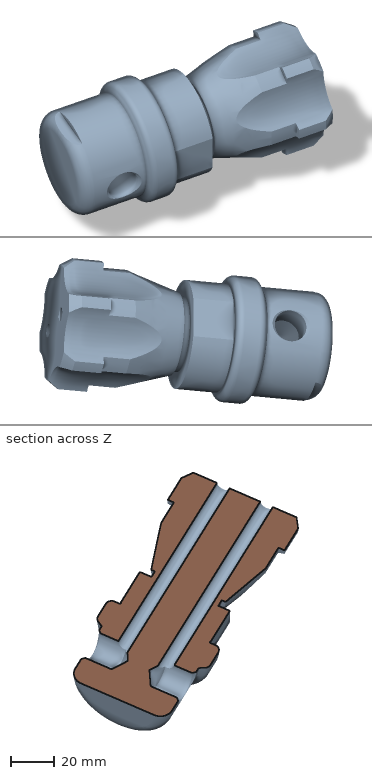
import cadquery as cq
import math

flat_length = 6.3
shank_end = 32.6
flange_end = 47.7
collar_start = 48.3
collar_end = 67.6
neck_end = 70.8
taper_end = 96.1
head_step = 108.7
total_length = 127.8

shank_radius = 25.3
end_rounding = 6.3
flange_radius = 29.4
flange_rounding = 3.1
flange_cone_angle = 60.0
groove_radius = 23.4
neck_radius = 17.5
taper_start_radius = 19.4
taper_end_radius = 27.3
head_radius = 30.47
head_chamfer_length = 5.2
head_chamfer_depth = 3.51

shank_flat_height = 22.2
collar_flat_distance = 23.5

rib_count = 6
scallop_axis_distance = 42.2
scallop_depth_radius = 22.9
scallop_radius = scallop_axis_distance - scallop_depth_radius

hole_position = 21.2
hole_radius = 7.5
hole_mouth_radius = 9.0
hole_bottom_distance = 10.2
drill_tip_angle = 118.0
channel_diameter = 6.4
channel_axis_distance = 11.2


def turned_body():
    """Revolve the stepped half profile about the Y axis."""
    diagonal = math.sqrt(0.5)
    shank_corner = shank_radius - end_rounding
    cone_angle = math.radians(flange_cone_angle)
    rounding_center = flange_radius - flange_rounding
    cone_top_radius = rounding_center + flange_rounding * math.cos(cone_angle)
    cone_top = shank_end + (cone_top_radius - shank_radius) / math.tan(cone_angle)
    rear_center = cone_top + flange_rounding * math.sin(cone_angle)
    front_center = flange_end - flange_rounding
    profile = (
        cq.Workplane("XY")
        .lineTo(shank_corner, 0)
        .threePointArc(
            (shank_corner + end_rounding * diagonal, end_rounding * (1 - diagonal)),
            (shank_radius, end_rounding),
        )
        .lineTo(shank_radius, shank_end)
        .lineTo(cone_top_radius, cone_top)
        .threePointArc(
            (
                rounding_center + flange_rounding * math.cos(cone_angle / 2),
                rear_center - flange_rounding * math.sin(cone_angle / 2),
            ),
            (flange_radius, rear_center),
        )
        .lineTo(flange_radius, front_center)
        .threePointArc(
            (rounding_center + flange_rounding * diagonal, front_center + flange_rounding * diagonal),
            (rounding_center, flange_end),
        )
        .lineTo(groove_radius, flange_end)
        .lineTo(groove_radius, collar_start)
        .lineTo(shank_radius, collar_start)
        .lineTo(shank_radius, collar_end)
        .lineTo(neck_radius, collar_end)
        .lineTo(neck_radius, neck_end)
        .lineTo(taper_start_radius, neck_end)
        .lineTo(taper_end_radius, taper_end)
        .lineTo(taper_end_radius, head_step)
        .lineTo(head_radius, head_step)
        .lineTo(head_radius, total_length - head_chamfer_length)
        .lineTo(head_radius - head_chamfer_depth, total_length)
        .lineTo(0, total_length)
        .close()
    )
    return profile.revolve(360, (0, 0, 0), (0, 1, 0))


def cylinder_along_y(radius, x, z, start, end):
    base = cq.Vector(x, start, z)
    return cq.Workplane(cq.Solid.makeCylinder(radius, end - start, base, cq.Vector(0, 1, 0)))


def cut_shank_flats(body):
    """Cut a short flat above and below the rounded shank end."""
    for side in (-1, 1):
        cutter = cq.Workplane("XY").box(2 * shank_radius, flat_length, shank_radius, centered=(True, False, True))
        body = body.cut(cutter.translate((0, 0, side * (shank_flat_height + shank_radius / 2))))
    return body


def cut_collar_flats(body):
    """Cut the two wrench flats across the collar."""
    length = collar_end - collar_start
    for side in (-1, 1):
        cutter = cq.Workplane("XY").box(shank_radius, length, 2 * shank_radius, centered=(True, False, True))
        x = side * (collar_flat_distance + shank_radius / 2)
        body = body.cut(cutter.translate((x, collar_start, 0)))
    return body


def cut_scallops(body):
    """Cut round flutes between the ribs, with ribs lying on the X axis."""
    for index in range(rib_count):
        angle = 2 * math.pi * (index + 0.5) / rib_count
        x = scallop_axis_distance * math.cos(angle)
        z = scallop_axis_distance * math.sin(angle)
        body = body.cut(cylinder_along_y(scallop_radius, x, z, neck_end, total_length))
    return body


def radial_hole():
    """Countersunk hole on the +X side, with a conical bottom."""
    tip_distance = hole_bottom_distance - hole_radius / math.tan(math.radians(drill_tip_angle / 2))
    sink_start = shank_radius - (hole_mouth_radius - hole_radius)
    profile = (
        cq.Workplane("XY")
        .moveTo(tip_distance, hole_position)
        .lineTo(hole_bottom_distance, hole_position + hole_radius)
        .lineTo(sink_start, hole_position + hole_radius)
        .lineTo(shank_radius, hole_position + hole_mouth_radius)
        .lineTo(shank_radius, hole_position)
        .close()
    )
    return profile.revolve(360, (tip_distance, hole_position, 0), (shank_radius, hole_position, 0))


def cut_holes_and_channels(body):
    """Cut both radial holes and a lengthwise channel from each to the head face."""
    hole = radial_hole()
    for side, turned_hole in ((1, hole), (-1, hole.mirror("YZ"))):
        channel = cylinder_along_y(
            channel_diameter / 2, side * channel_axis_distance, 0, hole_position, total_length
        )
        body = body.cut(turned_hole).cut(channel)
    return body


result = turned_body()
result = cut_shank_flats(result)
result = cut_collar_flats(result)
result = cut_scallops(result)
result = cut_holes_and_channels(result)